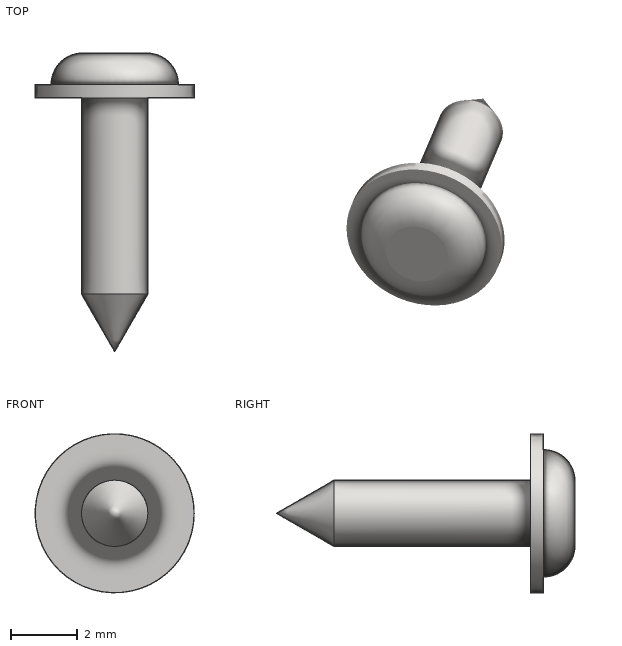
import cadquery as cq
import math

total_length = 9.0
flange_diameter = 4.8
flange_thickness = 0.4
head_diameter = 3.84
head_height = 0.95
shank_diameter = 2.0
tip_angle = 60.0

flange_radius = flange_diameter / 2
head_radius = head_diameter / 2
shank_radius = shank_diameter / 2
tip_length = shank_radius / math.tan(math.radians(tip_angle / 2))

head_top = flange_thickness + head_height
tip_end = head_top - total_length
tip_start = tip_end + tip_length

crown_radius = head_radius - head_height
arc_offset = head_height * math.sqrt(0.5)
arc_middle = (crown_radius + arc_offset, flange_thickness + arc_offset)

profile = (
    cq.Workplane("XY")
    .moveTo(0, tip_end)
    .lineTo(shank_radius, tip_start)
    .lineTo(shank_radius, 0)
    .lineTo(flange_radius, 0)
    .lineTo(flange_radius, flange_thickness)
    .lineTo(head_radius, flange_thickness)
    .threePointArc(arc_middle, (crown_radius, head_top))
    .lineTo(0, head_top)
    .close()
)

result = profile.revolve(360, (0, 0), (0, 1))